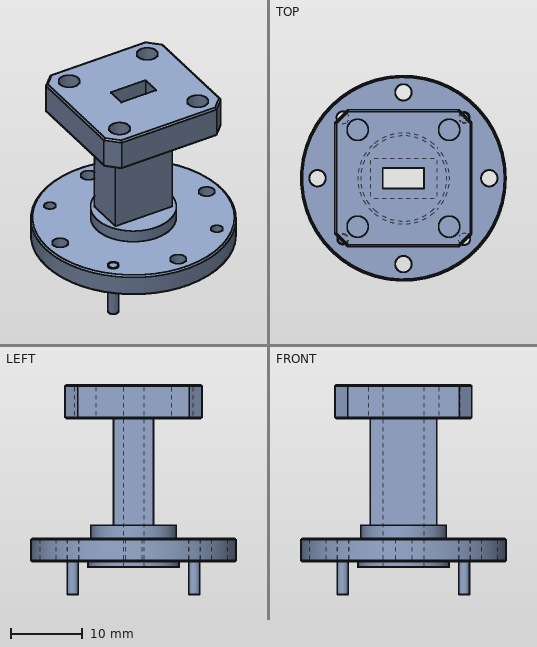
import cadquery as cq
import math

TOTAL_HEIGHT = 29.27
FACE_Z = 3.85
ROUND_BOTTOM_Z = 4.6
ROUND_TOP_Z = 7.9
COLLAR_TOP_Z = 9.72
SQUARE_THICKNESS = 4.77
SQUARE_BOTTOM_Z = TOTAL_HEIGHT - SQUARE_THICKNESS

ROUND_DIAMETER = 28.57
FACE_DIAMETER = 12.7
COLLAR_DIAMETER = 11.95
EDGE_CHAMFER = 0.25
BOLT_CIRCLE_RADIUS = 11.95
BOLT_HOLE_DIAMETER = 2.25
BOLT_HOLE_ANGLES = (0, 90, 180, 270)

PIN_DIAMETER = 1.55
PIN_CHAMFER = 0.12
DOWEL_HOLE_DIAMETER = 1.67
PIN_ANGLES = (45, 225)
DOWEL_HOLE_ANGLES = (135, 315)

SQUARE_SIDE = 19.05
CORNER_CHAMFER = 1.8
SQUARE_HOLE_SPACING_X = 12.73
SQUARE_HOLE_SPACING_Y = 13.45
SQUARE_HOLE_DIAMETER = 2.95

TUBE_WIDTH = 9.28
TUBE_DEPTH = 5.6
BORE_WIDTH = 5.68
BORE_DEPTH = 2.85


def on_bolt_circle(angle):
    """X and Y of the point on the bolt circle at an angle in degrees."""
    turn = math.radians(angle)
    return (BOLT_CIRCLE_RADIUS * math.cos(turn), BOLT_CIRCLE_RADIUS * math.sin(turn))


def cylinder(diameter, bottom, top, centers=((0, 0),)):
    """Upright cylinders of one diameter at the given centres."""
    return (
        cq.Workplane("XY", origin=(0, 0, bottom))
        .pushPoints(list(centers))
        .circle(diameter / 2)
        .extrude(top - bottom)
    )


def block(width, depth, bottom, top):
    """Upright rectangular block centred on the Z axis."""
    return cq.Workplane("XY", origin=(0, 0, bottom)).rect(width, depth).extrude(top - bottom)


def make_round_flange():
    """Chamfered disc with a raised mating face, a collar, bolt holes and dowel holes."""
    disc = cylinder(ROUND_DIAMETER, ROUND_BOTTOM_Z, ROUND_TOP_Z).edges("%CIRCLE").chamfer(EDGE_CHAMFER)
    raised_face = cylinder(FACE_DIAMETER, FACE_Z, ROUND_BOTTOM_Z)
    collar = cylinder(COLLAR_DIAMETER, ROUND_TOP_Z, COLLAR_TOP_Z)

    bolt_centers = [on_bolt_circle(angle) for angle in BOLT_HOLE_ANGLES]
    dowel_centers = [on_bolt_circle(angle) for angle in DOWEL_HOLE_ANGLES]
    pin_centers = [on_bolt_circle(angle) for angle in PIN_ANGLES]
    bolt_holes = cylinder(BOLT_HOLE_DIAMETER, ROUND_BOTTOM_Z, ROUND_TOP_Z, bolt_centers)
    dowel_holes = cylinder(DOWEL_HOLE_DIAMETER, ROUND_BOTTOM_Z, ROUND_TOP_Z, dowel_centers)
    pin_holes = cylinder(PIN_DIAMETER, ROUND_BOTTOM_Z, ROUND_TOP_Z, pin_centers)

    return disc.union(raised_face).union(collar).cut(bolt_holes).cut(dowel_holes).cut(pin_holes)


def make_square_flange():
    """Square plate with cut corners, chamfered rims and four screw holes."""
    plate = block(SQUARE_SIDE, SQUARE_SIDE, SQUARE_BOTTOM_Z, TOTAL_HEIGHT)
    plate = plate.edges("|Z").chamfer(CORNER_CHAMFER)
    plate = plate.faces("<Z or >Z").edges().chamfer(EDGE_CHAMFER)

    half_x = SQUARE_HOLE_SPACING_X / 2
    half_y = SQUARE_HOLE_SPACING_Y / 2
    hole_centers = [(x, y) for x in (-half_x, half_x) for y in (-half_y, half_y)]
    return plate.cut(cylinder(SQUARE_HOLE_DIAMETER, SQUARE_BOTTOM_Z, TOTAL_HEIGHT, hole_centers))


def make_waveguide():
    """Both flanges joined by the tube, with the rectangular bore right through."""
    tube = block(TUBE_WIDTH, TUBE_DEPTH, COLLAR_TOP_Z, SQUARE_BOTTOM_Z)
    bore = block(BORE_WIDTH, BORE_DEPTH, FACE_Z, TOTAL_HEIGHT)
    return make_round_flange().union(tube).union(make_square_flange()).cut(bore)


def make_pin(angle):
    """Dowel pin, chamfered at both ends and flush with the top of the round flange."""
    pin = cylinder(PIN_DIAMETER, 0, ROUND_TOP_Z, [on_bolt_circle(angle)])
    return pin.faces("<Z or >Z").edges().chamfer(PIN_CHAMFER)


waveguide = make_waveguide()
pins = [make_pin(angle) for angle in PIN_ANGLES]

result = cq.Compound.makeCompound([waveguide.val(), *[pin.val() for pin in pins]])